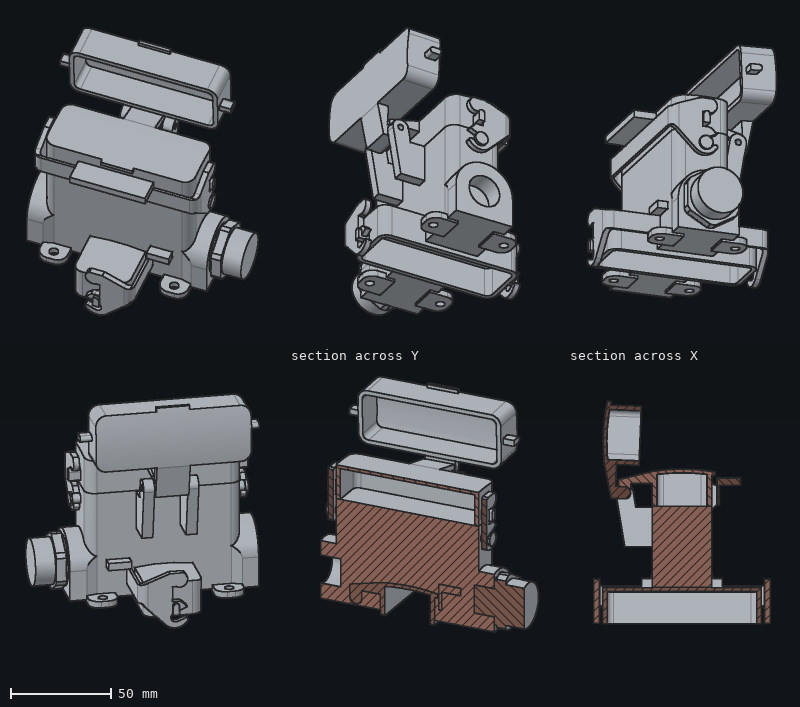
import cadquery as cq
import math

HOUSING_LENGTH = 79.0
HOUSING_WIDTH = 29.6
HOUSING_HEIGHT = 56.0
CORNER_RADIUS = 5.4

OUTLET_SPAN = 96
OUTLET_RADIUS = 16.2
OUTLET_AXIS_Z = 16.0
OUTLET_BORE_DIAMETER = 17.3
OUTLET_BORE_DEPTH = 11.0
OUTLET_BLEND = 5.3

FOOT_LENGTH = 14.8
FOOT_INNER_Y = 10.1
FOOT_OUTER_Y = 25.2
FOOT_BOTTOM_Z = -1.3
FOOT_THICKNESS = 3.5
FOOT_HOLE_DIAMETER = 4.5
FOOT_HOLE_Y = 20.1

STUD_Z = 48.2
STUD_DIAMETER = 4.9
STUD_HEAD_DIAMETER = 7.0
STUD_TIP_LEFT = 45.5
STUD_TIP_RIGHT = 45.0

HINGE_Y = 28.6
HINGE_Z = 62.7
EAR_RADIUS = 4.4
EAR_TILT = math.radians(9.5)
EAR_THICKNESS = 5.5
EAR_HOLE_DIAMETER = 3.0
EAR_BOTTOM_Z = 35.7
EAR_SHOULDER_Z = 55.5

LID_HEIGHT = 18.5
LID_ARCH_RISE = 1.2
LID_WALL = 2.4
LID_TOP_WALL = 2.0
LID_LIP_HEIGHT = 2.5
TAB_WIDTH = 16.9
TAB_REACH = 1.9
TAB_BOTTOM_Z = 15.2
PEG_SPAN = 91.0
PEG_WIDTH = 3.2
PEG_HEIGHT = 6.1
LEAF_TIP_Z = 13.3
LEAF_UNDERSIDE_Z = 11.2
KNUCKLE_RADIUS = 3.1
LID_OPENING_ANGLE = 87.7

LEVER_INNER_SPAN = 81.9
LEVER_THICKNESS = 3.0
STRAP_INNER = 17.3
STRAP_OUTER = 18.7
STRAP_BOTTOM = 8.2
STRAP_TOP = 18.0
LEVER_BACK = 6.9
BEND_OUTER_RADIUS = 4.4
BEND_INNER_RADIUS = 2.2
LEVER_TOP = 23.6
HOOK_BOTTOM = -5.7
PADDLE_WIDTH = 40.1
PADDLE_TIP = 29.1
PADDLE_HEIGHT = 3.8
NOTCH_BOTTOM = 8.6
NOTCH_TOP = 16.4
SLOT_START_ANGLE = -112
SLOT_END_ANGLE = 66
CROSS_LEVER_Z = -1.7

COLLAR_DIAMETER = 26.0
COLLAR_LENGTH = 1.2
NUT_FLATS = 27.2
NUT_CORNERS = 29.8
NUT_LENGTH = 5.2
GLAND_DIAMETER = 24.0
GLAND_TIP_X = 64.5

HOUSING_END_X = HOUSING_LENGTH / 2
HOUSING_SIDE_Y = HOUSING_WIDTH / 2
OUTLET_END_X = OUTLET_SPAN / 2
BORE_FLOOR_X = OUTLET_END_X - OUTLET_BORE_DEPTH
LEVER_INNER_X = LEVER_INNER_SPAN / 2
LEVER_OUTER_X = LEVER_INNER_X + LEVER_THICKNESS
HINGE_ABOVE_RIM = HINGE_Z - HOUSING_HEIGHT


def x_cylinder(diameter, start_x, end_x, y, z):
    """Cylinder along X between two X positions."""
    return (
        cq.Workplane("YZ", origin=(start_x, y, z))
        .circle(diameter / 2)
        .extrude(end_x - start_x)
    )


def box_between(x_range, y_range, z_range):
    """Box given by its lower and upper limit along each axis."""
    size = [high - low for low, high in (x_range, y_range, z_range)]
    return cq.Workplane("XY").box(*size, centered=False).translate(
        (x_range[0], y_range[0], z_range[0])
    )


def rounded_block(length, width, height, radius):
    """Upright block with rounded vertical edges, standing on Z = 0."""
    block = cq.Workplane("XY").box(length, width, height, centered=(True, True, False))
    return block.edges("|Z").fillet(radius)


def on_circle(radius, degrees):
    """Point on a circle about the origin, at an angle from the first axis."""
    angle = math.radians(degrees)
    return radius * math.cos(angle), radius * math.sin(angle)



def lid_leaf():
    """Hinge leaf that slopes down behind the lid and ends in a round knuckle."""
    root_y = HOUSING_SIDE_Y - LID_WALL / 2
    shoulder_z = LID_HEIGHT - LID_ARCH_RISE
    return (
        cq.Workplane("YZ", origin=(-TAB_WIDTH / 2, 0, 0))
        .moveTo(root_y, LEAF_UNDERSIDE_Z)
        .lineTo(root_y, shoulder_z)
        .lineTo(HOUSING_SIDE_Y, shoulder_z)
        .lineTo(HINGE_Y + KNUCKLE_RADIUS, LEAF_TIP_Z)
        .lineTo(HINGE_Y + KNUCKLE_RADIUS, HINGE_ABOVE_RIM)
        .threePointArc(
            (HINGE_Y, HINGE_ABOVE_RIM - KNUCKLE_RADIUS),
            (HINGE_Y - KNUCKLE_RADIUS, HINGE_ABOVE_RIM),
        )
        .lineTo(HINGE_Y - KNUCKLE_RADIUS, LEAF_UNDERSIDE_Z)
        .close()
        .extrude(TAB_WIDTH)
    )


def lid_peg():
    """Round-ended bar across the lid; its ends are the locking pegs."""
    arch_z = LID_LIP_HEIGHT + PEG_HEIGHT - PEG_WIDTH / 2
    return (
        cq.Workplane("YZ", origin=(-PEG_SPAN / 2, 0, 0))
        .moveTo(-PEG_WIDTH / 2, LID_LIP_HEIGHT)
        .lineTo(-PEG_WIDTH / 2, arch_z)
        .threePointArc((0, LID_LIP_HEIGHT + PEG_HEIGHT), (PEG_WIDTH / 2, arch_z))
        .lineTo(PEG_WIDTH / 2, LID_LIP_HEIGHT)
        .close()
        .extrude(PEG_SPAN)
    )


def below_arch(length, top_z):
    """Everything below a shallow arch along X whose crest is at top_z."""
    half_chord = HOUSING_SIDE_Y
    radius = (half_chord**2 + LID_ARCH_RISE**2) / (2 * LID_ARCH_RISE)
    return x_cylinder(2 * radius, -length / 2, length / 2, 0, top_z - radius)


def lid_blank():
    """Lid with its pegs, tab and hinge leaf, but not yet hollow."""
    body = rounded_block(HOUSING_LENGTH, HOUSING_WIDTH, LID_HEIGHT, CORNER_RADIUS)
    tab = box_between(
        (-TAB_WIDTH / 2, TAB_WIDTH / 2),
        (-HOUSING_SIDE_Y - TAB_REACH, 0),
        (TAB_BOTTOM_Z, LID_HEIGHT),
    )
    arched = body.union(tab).intersect(below_arch(HOUSING_LENGTH, LID_HEIGHT))
    return arched.union(lid_leaf()).union(lid_peg())


def lid_cavity():
    """Hollow inside of the lid, following its outside."""
    length = HOUSING_LENGTH - 2 * LID_WALL
    width = HOUSING_WIDTH - 2 * LID_WALL
    cavity = rounded_block(length, width, LID_HEIGHT, CORNER_RADIUS - LID_WALL)
    return cavity.intersect(below_arch(length, LID_HEIGHT - LID_TOP_WALL))


def lid():
    return lid_blank().cut(lid_cavity())


def on_housing(lid_shape):
    """Lid closed on top of the housing."""
    return lid_shape.translate((0, 0, HOUSING_HEIGHT))


def swung_open(lid_shape):
    """Closed lid turned up about the hinge axis."""
    return on_housing(lid_shape).rotate(
        (0, HINGE_Y, HINGE_Z), (1, HINGE_Y, HINGE_Z), -LID_OPENING_ANGLE
    )


def crosswise(shape, z):
    """Lid or lever turned to lie across the foot of the housing."""
    return shape.rotate((0, 0, 0), (0, 0, 1), 90).translate((0, 0, z))



def lever_side_outline():
    """Solid of the lever's side outline: plate, peg notch, tooth and pivot hook."""
    slot_radius = STUD_DIAMETER / 2
    notch_side = PEG_WIDTH / 2
    slot_start = on_circle(slot_radius, SLOT_START_ANGLE)
    slot_end = on_circle(slot_radius, SLOT_END_ANGLE)
    finger_top = (-3.9, LEVER_TOP)
    finger_nose = (-5.8, 18.6)
    finger_root = (-0.2, NOTCH_TOP)
    slope_start = (3.0, LEVER_TOP)
    slope_middle = (14.3, 19.3)
    heel = (17.2, STRAP_BOTTOM)
    hook_start = (5.4, -3.5)
    hook_tip_outside = (-6.1, -2.2)
    hook_tip = (-6.0, -0.9)
    hook_tip_inside = (-4.7, -0.7)
    tooth_tip = (-5.9, 5.3)
    tooth_shoulder = (-3.0, 8.1)
    tooth_top = (-1.5, NOTCH_BOTTOM)
    outline = (
        cq.Workplane("XZ")
        .moveTo(*finger_top)
        .lineTo(*slope_start)
        .lineTo(*slope_middle)
        .lineTo(STRAP_INNER, STRAP_TOP)
        .lineTo(STRAP_OUTER, STRAP_TOP)
        .lineTo(STRAP_OUTER, STRAP_BOTTOM)
        .lineTo(*heel)
        .lineTo(*hook_start)
        .threePointArc((0, HOOK_BOTTOM), hook_tip_outside)
        .threePointArc(hook_tip, hook_tip_inside)
        .lineTo(*slot_start)
        .threePointArc((slot_radius, 0), slot_end)
        .lineTo(*tooth_tip)
        .lineTo(*tooth_shoulder)
        .lineTo(*tooth_top)
        .lineTo(notch_side, NOTCH_BOTTOM)
        .lineTo(notch_side, NOTCH_TOP)
        .lineTo(*finger_root)
        .threePointArc(finger_nose, finger_top)
        .close()
        .extrude(LEVER_OUTER_X, both=True)
    )
    return outline.rotate((0, 0, 0), (0, 0, 1), -90)


def lever_bow():
    """Bent bow seen in plan: two side plates joined by the thin front strap."""
    z_range = (-2 * STRAP_TOP, 2 * STRAP_TOP)
    outside = box_between((-LEVER_OUTER_X, LEVER_OUTER_X), (-STRAP_OUTER, LEVER_BACK), z_range)
    outside = outside.edges("|Z and <Y").fillet(BEND_OUTER_RADIUS)
    inside = box_between((-LEVER_INNER_X, LEVER_INNER_X), (-STRAP_INNER, LEVER_BACK), z_range)
    inside = inside.edges("|Z and <Y").fillet(BEND_INNER_RADIUS)
    return outside.cut(inside)


def lever():
    paddle = box_between(
        (-PADDLE_WIDTH / 2, PADDLE_WIDTH / 2),
        (-PADDLE_TIP, -STRAP_INNER),
        (STRAP_TOP, STRAP_TOP + PADDLE_HEIGHT),
    )
    return lever_bow().intersect(lever_side_outline()).union(paddle)



def outlet_block():
    """D-shaped cable outlet along X; its sides taper into the housing flanks."""
    arch_top = OUTLET_AXIS_Z + OUTLET_RADIUS
    section = (
        cq.Workplane("YZ", origin=(-OUTLET_END_X, 0, 0))
        .moveTo(-OUTLET_RADIUS, 0)
        .lineTo(-OUTLET_RADIUS, OUTLET_AXIS_Z)
        .threePointArc((0, arch_top), (OUTLET_RADIUS, OUTLET_AXIS_Z))
        .lineTo(OUTLET_RADIUS, 0)
        .close()
        .extrude(OUTLET_SPAN)
    )
    waist_x = HOUSING_END_X - OUTLET_BLEND
    waist = (
        cq.Workplane("XY")
        .moveTo(-HOUSING_END_X, OUTLET_RADIUS)
        .lineTo(-waist_x, HOUSING_SIDE_Y)
        .lineTo(waist_x, HOUSING_SIDE_Y)
        .lineTo(HOUSING_END_X, OUTLET_RADIUS)
        .close()
        .extrude(arch_top)
    )
    return section.cut(waist).cut(waist.mirror("XZ"))


def outlet_bore(side):
    """Blind bore of one outlet."""
    return x_cylinder(
        OUTLET_BORE_DIAMETER, side * OUTLET_END_X, side * BORE_FLOOR_X, 0, OUTLET_AXIS_Z
    )


def foot(side_x, side_y):
    """Flat mounting foot with two rounded corners and a screw hole."""
    center_x = HOUSING_END_X - FOOT_LENGTH / 2
    plate = box_between(
        (HOUSING_END_X - FOOT_LENGTH, HOUSING_END_X),
        (FOOT_INNER_Y, FOOT_OUTER_Y),
        (FOOT_BOTTOM_Z, FOOT_BOTTOM_Z + FOOT_THICKNESS),
    )
    plate = plate.edges("|Z and >Y").fillet(CORNER_RADIUS)
    hole = (
        cq.Workplane("XY", origin=(center_x, FOOT_HOLE_Y, FOOT_BOTTOM_Z))
        .circle(FOOT_HOLE_DIAMETER / 2)
        .extrude(FOOT_THICKNESS)
    )
    plate = plate.cut(hole)
    if side_x < 0:
        plate = plate.mirror("YZ")
    if side_y < 0:
        plate = plate.mirror("XZ")
    return plate


def pivot_stud(side, tip_x):
    """Headed stud that carries one side of the upper lever."""
    shaft = x_cylinder(STUD_DIAMETER, side * HOUSING_END_X, side * LEVER_OUTER_X, 0, STUD_Z)
    head = x_cylinder(STUD_HEAD_DIAMETER, side * LEVER_OUTER_X, side * tip_x, 0, STUD_Z)
    return shaft.union(head)


def hinge_ear(start_x):
    """Bracket with a round eye behind the housing."""
    tangent_y = EAR_RADIUS * math.cos(EAR_TILT)
    tangent_z = EAR_RADIUS * math.sin(EAR_TILT)
    slope = math.tan(EAR_TILT)
    back_bottom_y = HINGE_Y + tangent_y - slope * (HINGE_Z - tangent_z - EAR_BOTTOM_Z)
    shoulder_y = HINGE_Y - tangent_y - slope * (HINGE_Z + tangent_z - EAR_SHOULDER_Z)
    ear = (
        cq.Workplane("YZ", origin=(start_x, 0, 0))
        .moveTo(HOUSING_SIDE_Y, EAR_BOTTOM_Z)
        .lineTo(back_bottom_y, EAR_BOTTOM_Z)
        .lineTo(HINGE_Y + tangent_y, HINGE_Z - tangent_z)
        .threePointArc(
            (HINGE_Y + tangent_z, HINGE_Z + tangent_y),
            (HINGE_Y - tangent_y, HINGE_Z + tangent_z),
        )
        .lineTo(shoulder_y, EAR_SHOULDER_Z)
        .lineTo(HOUSING_SIDE_Y, EAR_SHOULDER_Z)
        .close()
        .extrude(EAR_THICKNESS)
    )
    return ear.cut(x_cylinder(EAR_HOLE_DIAMETER, start_x, start_x + EAR_THICKNESS, HINGE_Y, HINGE_Z))


def housing_body():
    body = rounded_block(HOUSING_LENGTH, HOUSING_WIDTH, HOUSING_HEIGHT, CORNER_RADIUS)
    body = body.union(outlet_block())
    for side_x in (-1, 1):
        body = body.cut(outlet_bore(side_x))
        for side_y in (-1, 1):
            body = body.union(foot(side_x, side_y))
    body = body.union(pivot_stud(-1, STUD_TIP_LEFT))
    body = body.union(pivot_stud(1, STUD_TIP_RIGHT))
    for start_x in (-TAB_WIDTH / 2 - EAR_THICKNESS, TAB_WIDTH / 2):
        body = body.union(hinge_ear(start_x))
    return body



def cable_gland():
    """Gland: spigot in the outlet bore, collar, hexagon nut and round end."""
    nut_x = OUTLET_END_X + COLLAR_LENGTH
    nut_end_x = nut_x + NUT_LENGTH
    spigot = x_cylinder(OUTLET_BORE_DIAMETER, BORE_FLOOR_X, OUTLET_END_X, 0, OUTLET_AXIS_Z)
    collar = x_cylinder(COLLAR_DIAMETER, OUTLET_END_X, nut_x, 0, OUTLET_AXIS_Z)
    hexagon = (
        cq.Workplane("YZ", origin=(nut_x, 0, OUTLET_AXIS_Z))
        .polygon(6, NUT_FLATS, circumscribed=True)
        .extrude(NUT_LENGTH)
    )
    nut = hexagon.intersect(x_cylinder(NUT_CORNERS, nut_x, nut_end_x, 0, OUTLET_AXIS_Z))
    round_end = x_cylinder(GLAND_DIAMETER, nut_end_x, GLAND_TIP_X, 0, OUTLET_AXIS_Z)
    return spigot.union(collar).union(nut).union(round_end)



open_lid = swung_open(lid())
closed_lid = on_housing(lid()).cut(open_lid)
cross_lid = crosswise(lid(), -LID_LIP_HEIGHT)
cross_lid_blank = crosswise(lid_blank(), -LID_LIP_HEIGHT)

upper_lever = lever().translate((0, 0, STUD_Z)).cut(closed_lid)
cross_lever = crosswise(lever(), CROSS_LEVER_Z).cut(cross_lid_blank)

housing = housing_body().cut(cross_lid_blank).cut(cross_lever)

result = cq.Compound.makeCompound(
    [
        housing.solids().val(),
        cable_gland().solids().val(),
        open_lid.solids().val(),
        closed_lid.solids().val(),
        cross_lid.solids().val(),
        upper_lever.solids().val(),
        cross_lever.solids().val(),
    ]
)